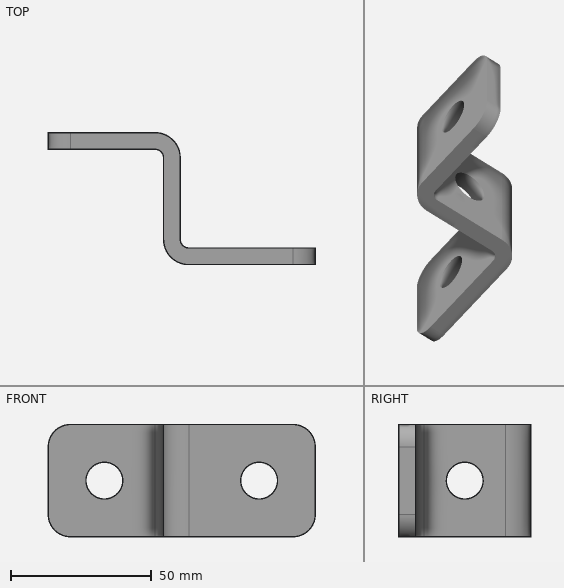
import cadquery as cq

length = 95.0
depth = 47.0
height = 40.0

thickness = 6.0
inner_bend_radius = 3.0
outer_bend_radius = inner_bend_radius + thickness
rear_flange_length = 47.0

corner_radius = 8.0
hole_diameter = 13.0
hole_end_distance = 20.0

web_right = rear_flange_length
web_left = web_right - thickness
rear_flange_front = depth - thickness


def bent_strip():
    """Z profile in the XY plane, extruded to the full height, with rounded bends."""
    strip = (
        cq.Workplane("XY")
        .moveTo(0, depth)
        .lineTo(web_right, depth)
        .lineTo(web_right, thickness)
        .lineTo(length, thickness)
        .lineTo(length, 0)
        .lineTo(web_left, 0)
        .lineTo(web_left, rear_flange_front)
        .lineTo(0, rear_flange_front)
        .close()
        .extrude(height)
    )
    mid_height = height / 2
    outer_corners = [(web_right, depth), (web_left, 0)]
    inner_corners = [(web_right, thickness), (web_left, rear_flange_front)]
    bends = ((outer_corners, outer_bend_radius), (inner_corners, inner_bend_radius))
    for corners, radius in bends:
        for x, y in corners:
            nearest = cq.selectors.NearestToPointSelector((x, y, mid_height))
            strip = strip.edges(nearest).fillet(radius)
    return strip


def round_free_ends(strip):
    """Round the top and bottom corners at the free end of each flange."""
    strip = strip.faces("<X").edges("|Y").fillet(corner_radius)
    return strip.faces(">X").edges("|Y").fillet(corner_radius)


def hole_cutter(start, direction, reach):
    """Cylinder of the hole diameter running from start along direction."""
    return cq.Workplane(
        cq.Solid.makeCylinder(hole_diameter / 2, reach, cq.Vector(*start), cq.Vector(*direction))
    )


def drill_holes(bracket):
    """One through hole in each flange and one in the middle of the web."""
    hole_z = height / 2
    along_x = (1, 0, 0)
    along_y = (0, 1, 0)
    for x in (hole_end_distance, length - hole_end_distance):
        bracket = bracket.cut(hole_cutter((x, 0, hole_z), along_y, depth))
    web_hole_start = (web_left, depth / 2, hole_z)
    return bracket.cut(hole_cutter(web_hole_start, along_x, thickness))


result = drill_holes(round_free_ends(bent_strip()))